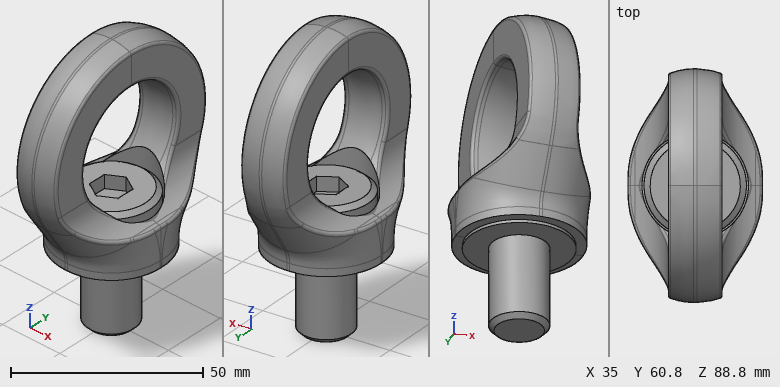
import cadquery as cq
import math

SEAT_DISC_Z = 24.0
BASE_Z = 24.9
NECK_Z = 27.2
POCKET_FLOOR_Z = 32.0
HEAD_TOP_Z = 42.45
FLARE_TOP_Z = 49.7
TOP_Z = 88.8

EYE_RADIUS = 30.41
EYE_HALF_WIDTH = 7.0
BASE_HALF_WIDTH = 17.5
CROWN_FLAT = 0.8
NECK_RADIUS = 8.0
CHEEK_RADIUS = 12.0
RIM_DEPTH = 22.6
SHOULDER_SLOPE = math.radians(16)
EDGE_ROUND = 1.0
EYE_Z = TOP_Z - EYE_RADIUS

BORE_RADIUS = 17.7
BORE_CROWN_RADIUS = 30.0
BORE_DRAFT = math.radians(10)

MARGIN = 0.9

SHANK_RADIUS = 8.0
SHANK_CHAMFER = 1.4
SEAT_DISC_RADIUS = 14.8
HEAD_RADIUS = 13.3
HEAD_CHAMFER_DEPTH = 1.3
HEAD_CHAMFER_WIDTH = 1.6
HEAD_CLEARANCE = 0.5
HEX_ACROSS_FLATS = 10.0
HEX_DEPTH = 4.4


def polar(center, radius, angle):
    """Point at an angle (radians) on a circle, in the coordinates of its sketch plane."""
    return (center[0] + radius * math.cos(angle), center[1] + radius * math.sin(angle))


def rim_path():
    """Half outline in the YZ plane: base side, neck blend, tangent line, eye arc up to the top."""
    eye = (0, EYE_Z)
    blend = (BASE_HALF_WIDTH + NECK_RADIUS, NECK_Z)
    distance = math.hypot(blend[0] - eye[0], blend[1] - eye[1])
    toward_blend = math.atan2(blend[1] - eye[1], blend[0] - eye[0])
    contact = toward_blend + math.acos((EYE_RADIUS + NECK_RADIUS) / distance)
    blend_end = contact + math.pi
    return (
        cq.Workplane("YZ")
        .moveTo(BASE_HALF_WIDTH, BASE_Z)
        .lineTo(BASE_HALF_WIDTH, NECK_Z)
        .threePointArc(
            polar(blend, NECK_RADIUS, (blend_end + math.pi) / 2),
            polar(blend, NECK_RADIUS, blend_end),
        )
        .lineTo(*polar(eye, EYE_RADIUS, contact))
        .threePointArc(polar(eye, EYE_RADIUS, (contact + math.pi / 2) / 2), (0, TOP_Z))
    )


def rim_half():
    """Crowned section swept along the half outline and trimmed at the XZ mid-plane."""
    flat = CROWN_FLAT / 2
    corner = BASE_HALF_WIDTH - flat
    diagonal = corner * math.sqrt(0.5)
    inner = BASE_HALF_WIDTH - RIM_DEPTH
    section = (
        cq.Workplane("XY", origin=(0, 0, BASE_Z))
        .moveTo(-BASE_HALF_WIDTH, inner)
        .lineTo(-BASE_HALF_WIDTH, flat)
        .threePointArc((-flat - diagonal, flat + diagonal), (-flat, BASE_HALF_WIDTH))
        .lineTo(flat, BASE_HALF_WIDTH)
        .threePointArc((flat + diagonal, flat + diagonal), (BASE_HALF_WIDTH, flat))
        .lineTo(BASE_HALF_WIDTH, inner)
        .close()
    )
    keep = cq.Workplane("XY").box(2 * TOP_Z, TOP_Z, 2 * TOP_Z, centered=(True, False, True))
    return section.sweep(rim_path()).intersect(keep)


def cheek_envelope():
    """Front outline of the forging: wide base, sloping shoulders, concave cheeks, parallel eye."""
    center = (EYE_HALF_WIDTH + CHEEK_RADIUS, FLARE_TOP_Z)
    shoulder_angle = math.pi * 1.5 - SHOULDER_SLOPE
    cheek_end = polar(center, CHEEK_RADIUS, shoulder_angle)
    cheek_middle = polar(center, CHEEK_RADIUS, (math.pi + shoulder_angle) / 2)
    side = BASE_HALF_WIDTH + MARGIN
    shoulder_end_z = cheek_end[1] - (side - cheek_end[0]) * math.tan(SHOULDER_SLOPE)
    right_half = (
        cq.Workplane("XZ")
        .moveTo(0, TOP_Z + MARGIN)
        .lineTo(EYE_HALF_WIDTH, TOP_Z + MARGIN)
        .lineTo(EYE_HALF_WIDTH, FLARE_TOP_Z)
        .threePointArc(cheek_middle, cheek_end)
        .lineTo(side, shoulder_end_z)
        .lineTo(side, BASE_Z - MARGIN)
        .lineTo(0, BASE_Z - MARGIN)
    )
    return right_half.mirrorY().extrude(EYE_RADIUS + MARGIN, both=True)


def bore():
    """Crowned waist on the centreline, opening into a cone toward each side."""
    half_length = BASE_HALF_WIDTH + MARGIN
    crown_center = (0, BORE_RADIUS + BORE_CROWN_RADIUS)
    crown_end = polar(crown_center, BORE_CROWN_RADIUS, BORE_DRAFT - math.pi / 2)
    mouth_radius = crown_end[1] + (half_length - crown_end[0]) * math.tan(BORE_DRAFT)
    return (
        cq.Workplane("XY", origin=(0, 0, EYE_Z))
        .moveTo(-half_length, 0)
        .lineTo(-half_length, mouth_radius)
        .lineTo(-crown_end[0], crown_end[1])
        .threePointArc((0, BORE_RADIUS), crown_end)
        .lineTo(half_length, mouth_radius)
        .lineTo(half_length, 0)
        .close()
        .revolve(360, (0, 0, 0), (1, 0, 0))
    )


def level(z):
    """Horizontal workplane whose own x axis is Y, keeping cylinder seams off the XZ mid-plane."""
    return cq.Workplane(cq.Plane(origin=(0, 0, z), xDir=(0, 1, 0), normal=(0, 0, 1)))


def cylinder(radius, bottom, top):
    """Upright cylinder on the part axis."""
    return level(bottom).circle(radius).extrude(top - bottom)


def forging():
    """Eye, neck and base in one piece, built as a rounded half and its mirror image."""
    half = rim_half().intersect(cheek_envelope()).cut(bore())
    cheek_edges = half.edges("%BSPLINE").filter(lambda edge: edge.Center().y > EDGE_ROUND)
    head_pocket = cylinder(HEAD_RADIUS + HEAD_CLEARANCE, POCKET_FLOOR_Z, EYE_Z)
    half = cheek_edges.fillet(EDGE_ROUND).cut(head_pocket)
    return half.union(half.mirror("XZ"), glue=True, clean=False)


def screw():
    """Shank, seat disc and socket head."""
    shank = cylinder(SHANK_RADIUS, 0, POCKET_FLOOR_Z).faces("<Z").chamfer(SHANK_CHAMFER)
    seat_disc = cylinder(SEAT_DISC_RADIUS, SEAT_DISC_Z, BASE_Z)
    head = (
        cylinder(HEAD_RADIUS, POCKET_FLOOR_Z, HEAD_TOP_Z)
        .faces(">Z")
        .chamfer(HEAD_CHAMFER_DEPTH, HEAD_CHAMFER_WIDTH)
    )
    hex_diameter = HEX_ACROSS_FLATS / math.cos(math.pi / 6)
    socket = level(HEAD_TOP_Z).polygon(6, hex_diameter).extrude(-HEX_DEPTH)
    return shank.union(seat_disc).union(head.cut(socket))


result = forging().union(screw(), clean=False)